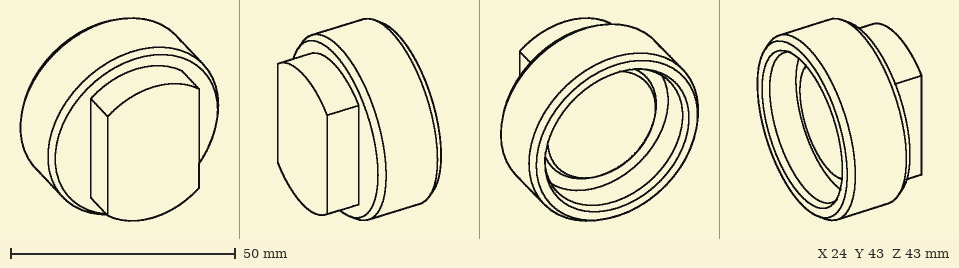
import cadquery as cq

outer_diameter = 43.0
ring_width = 16.0
edge_chamfer_axial = 1.5
edge_chamfer_radial = 1.05

boss_diameter = 35.25
boss_length = 8.0
flat_spacing = 23.0

recess_diameter = 35.0
recess_depth = 8.15
mouth_chamfer_axial = 1.5
mouth_chamfer_radial = 0.77

pad_diameter = 29.0
pad_height = 1.1
pad_taper = 0.8


def revolve_about_x(points):
    """Revolve a closed outline of (x, radius) points about the X axis."""
    return cq.Workplane("XY").polyline(points).close().revolve(360, (0, 0, 0), (1, 0, 0))


def make_ring():
    radius = outer_diameter / 2
    chamfered_radius = radius - edge_chamfer_radial
    return revolve_about_x([
        (0, 0),
        (0, chamfered_radius),
        (edge_chamfer_axial, radius),
        (ring_width - edge_chamfer_axial, radius),
        (ring_width, chamfered_radius),
        (ring_width, 0),
    ])


def make_boss():
    length = ring_width + boss_length - recess_depth
    cylinder = cq.Workplane("YZ", origin=(recess_depth, 0, 0)).circle(boss_diameter / 2).extrude(length)
    flats = cq.Workplane("YZ", origin=(recess_depth, 0, 0)).rect(flat_spacing, boss_diameter).extrude(length)
    return cylinder.intersect(flats)


def make_recess():
    radius = recess_diameter / 2
    return revolve_about_x([
        (0, 0),
        (0, radius + mouth_chamfer_radial),
        (mouth_chamfer_axial, radius),
        (recess_depth, radius),
        (recess_depth, 0),
    ])


def make_pad():
    radius = pad_diameter / 2
    pad_face = recess_depth - pad_height
    return revolve_about_x([
        (recess_depth, 0),
        (recess_depth, radius),
        (pad_face, radius - pad_taper),
        (pad_face, 0),
    ])


result = make_ring().cut(make_recess()).union(make_boss()).union(make_pad())